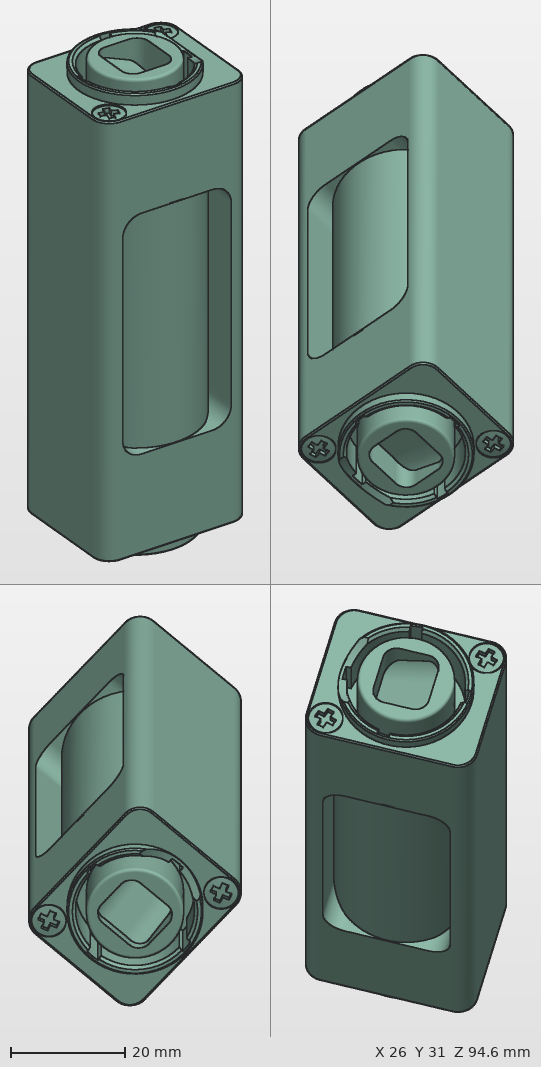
import cadquery as cq
import math

total_height = 94.6
body_width = 26.0
body_depth = 31.0
body_corner_radius = 3.5
body_edge_chamfer = 0.3

collar_radius = 11.9
collar_bore_radius = 10.4
collar_edge_chamfer = 0.3
collar_bore_chamfer = 0.6
collar_height = 2.2
recess_depth = 9.5
plug_radius = 8.5
plug_edge_fillet = 0.6
plug_height = 3.2

valley_radius = 11.9
valley_clearance = 0.1

keyway_radius = 11.3
end_keyway_width = 2.6
side_keyway_width = 2.2

socket_width = 11.2
socket_length = 10.0
socket_corner_radius = 2.5
socket_depth = 4.7
socket_floor_tilt = 22
socket_floor_flat = 4.3
socket_floor_radius = 4.7

screw_radius = 3.0
screw_dome_height = 0.3
cross_span = 3.6
cross_arm_width = 1.2
cross_depth = 1.1
cross_angle = -16

window_width = 23.1
window_height = 48.2
window_corner_radius = 4.0
core_radius = 12.9

end_face = total_height / 2 - plug_height
collar_top = end_face + collar_height
recess_floor = collar_top - recess_depth


def cylinder(radius, bottom, top):
    return cq.Workplane("XY").workplane(offset=bottom).circle(radius).extrude(top - bottom)


def block(x_size, y_size, bottom, top, center=(0, 0)):
    plane = cq.Workplane("XY").workplane(offset=bottom)
    return plane.center(*center).rect(x_size, y_size).extrude(top - bottom)


def make_housing():
    housing = block(body_width, body_depth, -end_face, end_face)
    return housing.edges("|Z").fillet(body_corner_radius).faces("<Z or >Z").chamfer(body_edge_chamfer)


def make_windows():
    """Rounded slots through both X sides, leaving the round core standing."""
    slots = cq.Workplane("YZ").rect(window_width, window_height).extrude(body_width / 2, both=True)
    slots = slots.edges("|X").fillet(window_corner_radius)
    return slots.cut(cylinder(core_radius, -end_face, end_face))


def make_valley():
    """Cylinder that dips almost to the housing end face, on the +Y side only."""
    axis_height = end_face + valley_clearance + valley_radius
    plane = cq.Workplane("XZ", origin=(0, 0, axis_height))
    return plane.circle(valley_radius).extrude(-2 * collar_radius)


def make_keyways():
    end_slots = block(end_keyway_width, 2 * keyway_radius, recess_floor, collar_top)
    side_slots = block(
        2 * keyway_radius, side_keyway_width, recess_floor, collar_top, (0, side_keyway_width / 2)
    )
    return end_slots.union(side_slots).intersect(cylinder(keyway_radius, recess_floor, collar_top))


def make_collar():
    collar = cylinder(collar_radius, recess_floor, collar_top)
    collar = collar.faces(">Z").edges().chamfer(collar_edge_chamfer)
    bore = cylinder(collar_bore_radius, recess_floor, collar_top)
    bore_chamfer = cq.Workplane("XY").add(
        cq.Solid.makeCone(
            collar_bore_radius,
            collar_bore_radius + collar_bore_chamfer,
            collar_bore_chamfer,
            pnt=cq.Vector(0, 0, collar_top - collar_bore_chamfer),
        )
    )
    return collar.cut(bore).cut(bore_chamfer).cut(make_valley()).cut(make_keyways())


def make_socket():
    """Rounded rectangular opening with a tilted, trough-shaped floor."""
    top = total_height / 2
    opening = block(socket_width, socket_length, top - 2 * socket_depth, top)
    opening = opening.edges("|Z").fillet(socket_corner_radius)

    half_flat = socket_floor_flat / 2
    half_width = socket_width / 2
    flank_angle = math.asin((half_width - half_flat) / socket_floor_radius)
    flank_rise = socket_floor_radius * (1 - math.cos(flank_angle))
    arc_middle_x = half_flat + socket_floor_radius * math.sin(flank_angle / 2)
    arc_middle_z = socket_floor_radius * (1 - math.cos(flank_angle / 2))
    trough = (
        cq.Workplane("XZ")
        .moveTo(-half_flat, 0)
        .lineTo(half_flat, 0)
        .threePointArc((arc_middle_x, arc_middle_z), (half_width, flank_rise))
        .lineTo(half_width, 2 * socket_length)
        .lineTo(-half_width, 2 * socket_length)
        .lineTo(-half_width, flank_rise)
        .threePointArc((-arc_middle_x, arc_middle_z), (-half_flat, 0))
        .close()
        .extrude(socket_length, both=True)
        .rotate((0, 0, 0), (1, 0, 0), -socket_floor_tilt)
        .translate((0, 0, top - socket_depth))
    )
    return opening.intersect(trough)


def make_plug():
    plug = cylinder(plug_radius, recess_floor, total_height / 2)
    return plug.faces(">Z").edges().fillet(plug_edge_fillet).cut(make_socket())


def make_screw_cutter():
    """Round sink with a domed floor whose crown is flush, plus the cross recess."""
    dome_radius = (screw_radius**2 + screw_dome_height**2) / (2 * screw_dome_height)
    dome = cq.Workplane("XY").sphere(dome_radius).translate((0, 0, end_face - dome_radius))
    sink = cylinder(screw_radius, end_face - screw_dome_height, end_face).cut(dome)
    arm = block(cross_span, cross_arm_width, end_face - cross_depth, end_face)
    cross = arm.union(arm.rotate((0, 0, 0), (0, 0, 1), 90))
    return sink.union(cross.rotate((0, 0, 0), (0, 0, 1), cross_angle))


def both_ends(shape):
    return shape, shape.mirror("XY")


result = make_housing().cut(make_windows())

for insert_space in both_ends(cylinder(collar_radius, recess_floor, end_face)):
    result = result.cut(insert_space)
for collar in both_ends(make_collar()):
    result = result.union(collar)
for plug in both_ends(make_plug()):
    result = result.union(plug)

screw_x = body_width / 2 - body_corner_radius
screw_y = body_depth / 2 - body_corner_radius
for x, y in ((-screw_x, screw_y), (screw_x, -screw_y)):
    for screw_cutter in both_ends(make_screw_cutter()):
        result = result.cut(screw_cutter.translate((x, y, 0)))